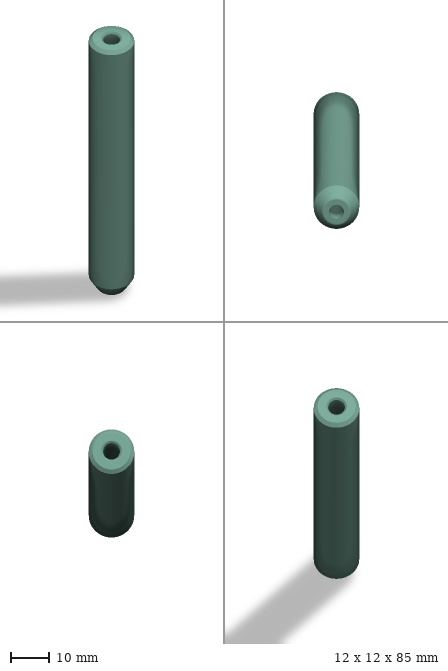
import cadquery as cq
import math

length = 85.0
outer_radius = 5.99

bevel_width = 1.0
bevel_height = 0.85

tip_height = 4.0
taper_angle = math.radians(30)
tip_end_radius = outer_radius - tip_height * math.tan(taper_angle)
tip_rounding = 0.7

bore_radius = 2.2
tip_bore_radius = 1.95
mouth_radius = 2.7
mouth_depth = mouth_radius - bore_radius


def cut_bore(body, radius):
    """Cut the axial bore through a body."""
    bore = cq.Workplane("XY").circle(radius).extrude(length)
    return body.cut(bore)


def make_shank():
    """Straight sleeve with a bevelled top and a countersunk bore."""
    top_radius = outer_radius - bevel_width
    profile = (
        cq.Workplane("XZ")
        .moveTo(0, tip_height)
        .lineTo(outer_radius, tip_height)
        .lineTo(outer_radius, length - bevel_height)
        .lineTo(top_radius, length)
        .lineTo(0, length)
        .close()
    )
    shank = cut_bore(profile.revolve(360, (0, 0), (0, 1)), bore_radius)
    countersink = cq.Solid.makeCone(
        bore_radius, mouth_radius, mouth_depth, pnt=cq.Vector(0, 0, length - mouth_depth)
    )
    return shank.cut(cq.Workplane(countersink))


def make_tip():
    """Tapered nose that closes the lower end of the shank, with a rounded rim."""
    cone = cq.Solid.makeCone(tip_end_radius, outer_radius, tip_height)
    tip = cq.Workplane(cone).faces("<Z").edges().fillet(tip_rounding)
    return cut_bore(tip, tip_bore_radius)


shank = make_shank()
tip = make_tip()

result = cq.Compound.makeCompound([shank.val(), tip.val()])